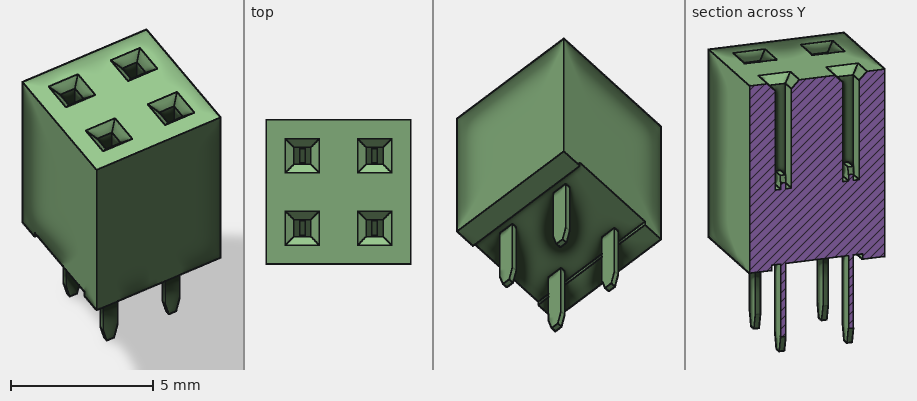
import cadquery as cq

PITCH = 2.54
ROWS = 2
COLUMNS = 2
HOUSING_LENGTH = COLUMNS * PITCH
HOUSING_WIDTH = ROWS * PITCH
HOUSING_HEIGHT = 7.0

RELIEF_WIDTH = 3.4
RELIEF_DEPTH = 0.2

LEAD_IN_SIZE = 1.2
LEAD_IN_DEPTH = 0.3
CAVITY_SIZE = 0.6
CAVITY_DEPTH = 4.0

CONTACT_THICKNESS = 0.2
CONTACT_WIDTH = 0.6
TAIL_LENGTH = 3.1
TAIL_TAPER_LENGTH = 0.6
TAIL_TIP_WIDTH = 0.3
CONTACT_TOP_WIDTH = 0.5
CONTACT_TOP_TAPER_LENGTH = 0.3
CONTACT_RISE = 0.5

CAVITY_FLOOR_Z = HOUSING_HEIGHT - CAVITY_DEPTH
CONTACT_TOP_Z = CAVITY_FLOOR_Z + CONTACT_RISE

CONTACT_POSITIONS = [
    ((column - (COLUMNS - 1) / 2) * PITCH, (row - (ROWS - 1) / 2) * PITCH)
    for column in range(COLUMNS)
    for row in range(ROWS)
]


def make_housing():
    """Rectangular block standing on Z = 0, relieved underneath."""
    block = cq.Workplane("XY").box(
        HOUSING_LENGTH, HOUSING_WIDTH, HOUSING_HEIGHT, centered=(True, True, False)
    )
    relief = cq.Workplane("XY").box(
        RELIEF_WIDTH, HOUSING_WIDTH, RELIEF_DEPTH, centered=(True, True, False)
    )
    return block.cut(relief)


def make_socket():
    """Solid of the space removed for one socket, centred on the Z axis."""
    lead_in = (
        cq.Workplane("XY", origin=(0, 0, HOUSING_HEIGHT))
        .rect(LEAD_IN_SIZE, LEAD_IN_SIZE)
        .workplane(offset=-LEAD_IN_DEPTH)
        .rect(CAVITY_SIZE, CAVITY_SIZE)
        .loft(ruled=True)
    )
    cavity = (
        cq.Workplane("XY", origin=(0, 0, CAVITY_FLOOR_Z))
        .rect(CAVITY_SIZE, CAVITY_SIZE)
        .extrude(CAVITY_DEPTH - LEAD_IN_DEPTH)
    )
    return lead_in.union(cavity)


def make_contact():
    """Flat blade centred on the Z axis, narrowed at both ends."""
    positive_y_side = [
        (TAIL_TIP_WIDTH / 2, -TAIL_LENGTH),
        (CONTACT_WIDTH / 2, -TAIL_LENGTH + TAIL_TAPER_LENGTH),
        (CONTACT_WIDTH / 2, CONTACT_TOP_Z - CONTACT_TOP_TAPER_LENGTH),
        (CONTACT_TOP_WIDTH / 2, CONTACT_TOP_Z),
    ]
    negative_y_side = [(-y, z) for y, z in reversed(positive_y_side)]
    return (
        cq.Workplane("YZ")
        .polyline(positive_y_side + negative_y_side)
        .close()
        .extrude(CONTACT_THICKNESS / 2, both=True)
    )


socket = make_socket()
contact = make_contact()

result = make_housing()
for x, y in CONTACT_POSITIONS:
    result = result.cut(socket.translate((x, y, 0)))
    result = result.union(contact.translate((x, y, 0)))